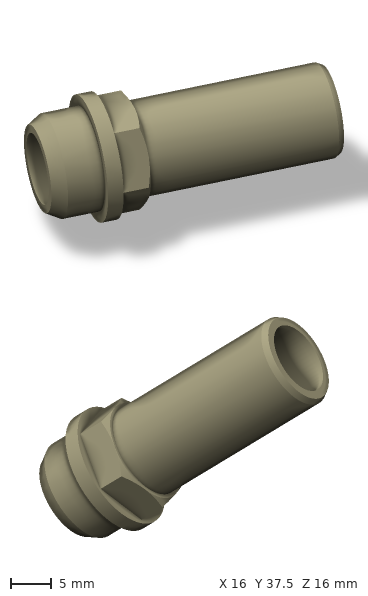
import cadquery as cq
import math

length = 37.5
bore_diameter = 9.0
tube_diameter = 12.0
spigot_diameter = 13.2
flange_diameter = 16.0
hex_across_flats = 13.0

spigot_length = 6.5
flange_thickness = 2.0
hex_length = 3.98

spigot_chamfer_length = 1.8
spigot_tip_diameter = 11.1
tube_chamfer_length = 0.75
chamfer_angle = math.radians(30)

flange_end = spigot_length + flange_thickness
hex_end = flange_end + hex_length
hex_across_corners = hex_across_flats / math.cos(math.pi / 6)


def revolve_profile(points):
    """Turn a closed (radius, axial position) outline about the Y axis."""
    return cq.Workplane("XY").polyline(points).close().revolve(360, (0, 0), (0, 1))


def turned_body():
    """Solid spigot, flange and tube with both ends chamfered."""
    spigot_radius = spigot_diameter / 2
    flange_radius = flange_diameter / 2
    tube_radius = tube_diameter / 2
    tube_tip_radius = tube_radius - tube_chamfer_length * math.tan(chamfer_angle)
    return revolve_profile([
        (0, 0),
        (spigot_tip_diameter / 2, 0),
        (spigot_radius, spigot_chamfer_length),
        (spigot_radius, spigot_length),
        (flange_radius, spigot_length),
        (flange_radius, flange_end),
        (tube_radius, flange_end),
        (tube_radius, length - tube_chamfer_length),
        (tube_tip_radius, length),
        (0, length),
    ])


def hexagon():
    """Hexagon with corners on +/-X, its rear corners cut back by a cone."""
    prism = (
        cq.Workplane("XZ", origin=(0, flange_end, 0))
        .polygon(6, hex_across_corners)
        .extrude(-hex_length)
    )
    crown_radius = hex_across_flats / 2
    outer_radius = flange_diameter / 2
    cone_drop = (outer_radius - crown_radius) * math.tan(chamfer_angle)
    envelope = revolve_profile([
        (0, flange_end),
        (outer_radius, flange_end),
        (outer_radius, hex_end - cone_drop),
        (crown_radius, hex_end),
        (0, hex_end),
    ])
    return prism.intersect(envelope)


def through_bore():
    return cq.Workplane("XZ").circle(bore_diameter / 2).extrude(-length)


result = turned_body().union(hexagon()).cut(through_bore())